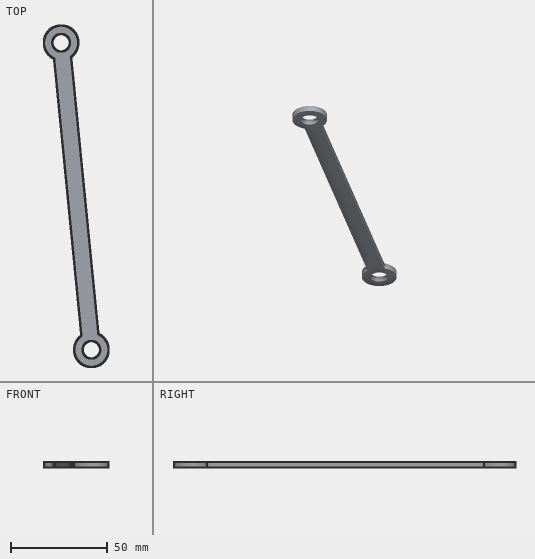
import cadquery as cq
import math

eye_spacing = 160.0
tilt_deg = 5.628
eye_diameter = 18.0
hole_diameter = 9.0
bar_width = 9.0
thickness = 3.0

tilt = math.radians(tilt_deg)
half_dx = eye_spacing / 2 * math.sin(tilt)
half_dy = eye_spacing / 2 * math.cos(tilt)
eye_centers = [(-half_dx, half_dy), (half_dx, -half_dy)]


def discs(diameter):
    """Discs of the full thickness, one at each eye center."""
    return cq.Workplane("XY").pushPoints(eye_centers).circle(diameter / 2).extrude(thickness)


def bar():
    """Straight bar running from one eye center to the other."""
    upright = cq.Workplane("XY").rect(bar_width, eye_spacing).extrude(thickness)
    return upright.rotate((0, 0, 0), (0, 0, 1), tilt_deg)


result = bar().union(discs(eye_diameter)).cut(discs(hole_diameter))